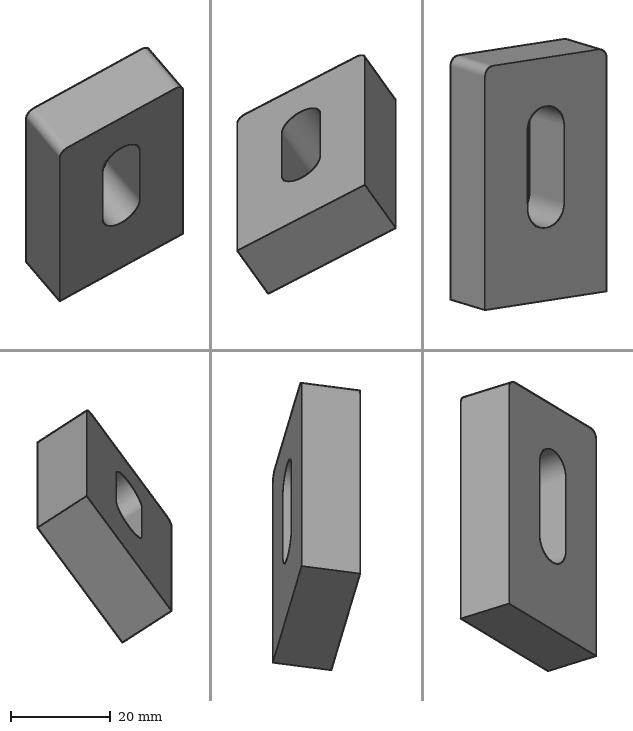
import cadquery as cq

thickness = 12.0
width = 30.0
height = 50.0
corner_radius = 2.0

slot_width = 9.0
slot_length = 25.0
slot_top_margin = 10.0
slot_center_z = height - slot_top_margin - slot_length / 2

plate = (
    cq.Workplane("XY")
    .box(thickness, width, height, centered=(True, True, False))
    .faces(">Z")
    .edges("|X")
    .fillet(corner_radius)
)

slot = (
    cq.Workplane("YZ")
    .center(0, slot_center_z)
    .slot2D(slot_length, slot_width, angle=90)
    .extrude(thickness, both=True)
)

result = plate.cut(slot)